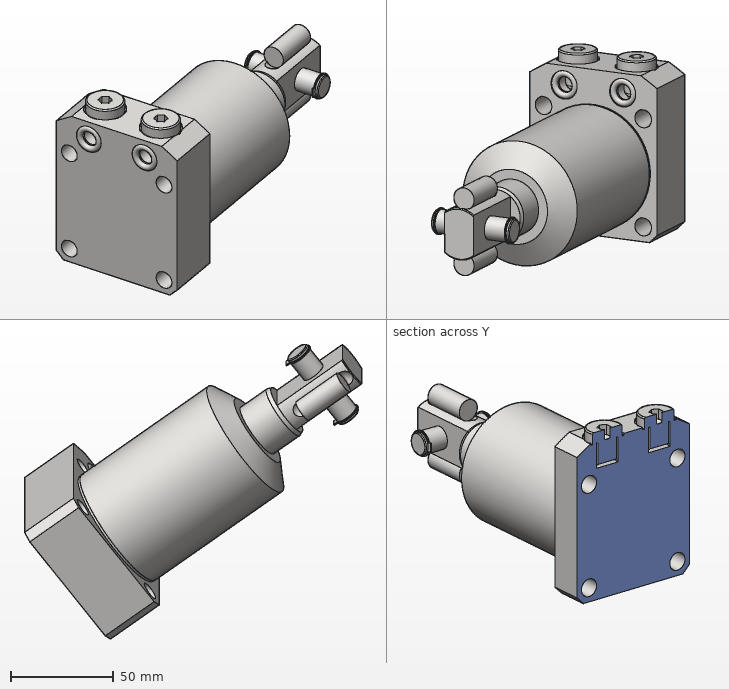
import cadquery as cq
import math


flange_width = 70.0
flange_depth = 30.0
flange_bottom = -35.0
flange_top = 49.0
top_edge_half = 26.0
side_edge_top = 43.5
bottom_chamfer = 4.2
bolt_spacing = 54.8
bolt_hole_diameter = 9.1

barrel_radius = 31.5
barrel_shoulder_y = 108.7
barrel_end_y = 116.0
barrel_nose_radius = 18.9
spigot_radius = 31.3
spigot_end_y = 31.2

neck_radius = 14.0
neck_end_y = 134.0
neck_chamfer_length = 2.1
tang_radius = 13.1
tang_width = 15.8
tang_end_y = 174.1
tang_end_chamfer = 0.5

pin_y = 156.3
pin_radius = 6.0
pin_length = 42.9
pin_end_chamfer = 0.5
clip_thickness = 0.7
clip_inset = 1.5
clip_radius = 6.6
clip_lug_width = 4.9
clip_lug_reach = 7.9

roller_radius = 5.6
roller_length = 25.0
roller_axis_height = 16.6
groove_end_clearance = 0.5

port_x = 16.1
port_z = 39.2
ring_centre_radius = 5.6
ring_section_radius = 1.5
front_ring_protrusion = 0.9
rear_ring_protrusion = 0.5

plug_top = 54.0
plug_head_radius = 9.6
plug_edge_chamfer = 0.7
plug_stem_radius = 6.5
plug_stem_bottom = 36.4
plug_bore_radius = 7.0
plug_bore_bottom = 34.8
spotface_radius = 10.5
spotface_depth = 1.0
socket_across_flats = 6.0
socket_depth = 5.2
socket_cone_depth = 1.8

flange_half = flange_width / 2
corner_radius = math.hypot(top_edge_half, flange_top)
bolt_half = bolt_spacing / 2
port_hole_radius = ring_centre_radius - ring_section_radius
ring_seat_radius = ring_centre_radius + ring_section_radius
front_seat_depth = 2 * ring_section_radius - front_ring_protrusion
rear_seat_depth = 2 * ring_section_radius - rear_ring_protrusion
front_ring_y = ring_section_radius - front_ring_protrusion
rear_ring_y = flange_depth - ring_section_radius + rear_ring_protrusion
spotface_z = flange_top - spotface_depth
plug_y = flange_depth / 2
tang_length = tang_end_y - neck_end_y
groove_length = roller_length + 2 * groove_end_clearance


def x_cylinder(radius, x_start, x_end, y):
    start = cq.Vector(x_start, y, 0)
    return cq.Workplane(cq.Solid.makeCylinder(radius, x_end - x_start, start, cq.Vector(1, 0, 0)))


def y_cylinder(radius, y_start, y_end, x, z):
    start = cq.Vector(x, y_start, z)
    return cq.Workplane(cq.Solid.makeCylinder(radius, y_end - y_start, start, cq.Vector(0, 1, 0)))


def z_cylinder(radius, z_start, z_end, x, y):
    start = cq.Vector(x, y, z_start)
    return cq.Workplane(cq.Solid.makeCylinder(radius, z_end - z_start, start, cq.Vector(0, 0, 1)))


def turned_about_y(points):
    return cq.Workplane("XY").polyline(points).close().revolve(360, (0, 0), (0, 1))


def make_flange():
    arc_angle = (math.atan2(flange_top, top_edge_half) + math.atan2(side_edge_top, flange_half)) / 2
    arc_x = corner_radius * math.cos(arc_angle)
    arc_z = corner_radius * math.sin(arc_angle)
    flange = (
        cq.Workplane("XZ")
        .moveTo(-flange_half + bottom_chamfer, flange_bottom)
        .lineTo(flange_half - bottom_chamfer, flange_bottom)
        .lineTo(flange_half, flange_bottom + bottom_chamfer)
        .lineTo(flange_half, side_edge_top)
        .threePointArc((arc_x, arc_z), (top_edge_half, flange_top))
        .lineTo(-top_edge_half, flange_top)
        .threePointArc((-arc_x, arc_z), (-flange_half, side_edge_top))
        .lineTo(-flange_half, flange_bottom + bottom_chamfer)
        .close()
        .extrude(-flange_depth)
    )
    for x in (-bolt_half, bolt_half):
        for z in (-bolt_half, bolt_half):
            flange = flange.cut(y_cylinder(bolt_hole_diameter / 2, 0, flange_depth, x, z))
    return flange


def cut_port(body, x):
    rear_seat_y = flange_depth - rear_seat_depth
    return (
        body
        .cut(y_cylinder(port_hole_radius, 0, flange_depth, x, port_z))
        .cut(y_cylinder(ring_seat_radius, 0, front_seat_depth, x, port_z))
        .cut(y_cylinder(ring_seat_radius, rear_seat_y, flange_depth, x, port_z))
        .cut(z_cylinder(plug_bore_radius, plug_bore_bottom, flange_top, x, plug_y))
        .cut(z_cylinder(spotface_radius, spotface_z, flange_top, x, plug_y))
    )


def make_plug(x):
    head = z_cylinder(plug_head_radius, spotface_z, plug_top, x, plug_y)
    head = head.faces(">Z").chamfer(plug_edge_chamfer)
    stem = z_cylinder(plug_stem_radius, plug_stem_bottom, spotface_z, x, plug_y)
    hexagon = (
        cq.Workplane("XY")
        .polygon(6, socket_across_flats / math.cos(math.pi / 6))
        .extrude(-socket_depth)
        .rotate((0, 0, 0), (0, 0, 1), 30)
        .translate((x, plug_y, plug_top))
    )
    cone = cq.Workplane(cq.Solid.makeCone(
        socket_across_flats / 2, 0, socket_cone_depth,
        cq.Vector(x, plug_y, plug_top - socket_depth), cq.Vector(0, 0, -1)))
    return head.union(stem).cut(hexagon).cut(cone)


def make_barrel():
    return turned_about_y([
        (0, flange_depth),
        (spigot_radius, flange_depth),
        (spigot_radius, spigot_end_y),
        (barrel_radius, spigot_end_y),
        (barrel_radius, barrel_shoulder_y),
        (barrel_nose_radius, barrel_end_y),
        (0, barrel_end_y),
    ])


def make_roller_groove(side):
    start = pin_y - groove_length / 2
    end = start + groove_length
    height = side * roller_axis_height
    groove = y_cylinder(roller_radius, start, end, 0, height)
    for y in (start, end):
        groove = groove.union(cq.Workplane("XY").sphere(roller_radius).translate((0, y, height)))
    return groove


def make_rod():
    neck = turned_about_y([
        (0, barrel_end_y),
        (neck_radius, barrel_end_y),
        (neck_radius, neck_end_y - neck_chamfer_length),
        (tang_radius, neck_end_y),
        (0, neck_end_y),
    ])
    tang = y_cylinder(tang_radius, neck_end_y, tang_end_y, 0, 0)
    tang = tang.faces(">Y").chamfer(tang_end_chamfer)
    flats = cq.Workplane("XY").box(tang_width, tang_length, 2 * tang_radius)
    tang = tang.intersect(flats.translate((0, neck_end_y + tang_length / 2, 0)))
    rod = neck.union(tang)
    for side in (-1, 1):
        rod = rod.cut(make_roller_groove(side))
    return rod


def make_cross_pin():
    half = pin_length / 2
    pin = x_cylinder(pin_radius, -half, half, pin_y).faces("<X or >X").chamfer(pin_end_chamfer)
    for side in (-1, 1):
        centre = side * (half - clip_inset - clip_thickness / 2)
        clip = x_cylinder(clip_radius, centre - clip_thickness / 2, centre + clip_thickness / 2, pin_y)
        lug = cq.Workplane("XY").box(clip_thickness, clip_lug_reach, clip_lug_width)
        lug = lug.translate((centre, pin_y - clip_lug_reach / 2, 0))
        pin = pin.union(clip).union(lug)
    return pin


def make_main_body():
    body = make_flange().union(make_barrel())
    for x in (-port_x, port_x):
        body = cut_port(body, x).union(make_plug(x))
    return body.union(make_rod()).union(make_cross_pin())


def make_roller(side):
    start = pin_y - roller_length / 2
    return y_cylinder(roller_radius, start, start + roller_length, 0, side * roller_axis_height)


def make_ring(x, y):
    return cq.Workplane(cq.Solid.makeTorus(
        ring_centre_radius, ring_section_radius, cq.Vector(x, y, port_z), cq.Vector(0, 1, 0)))


main_body = make_main_body()
rollers = [make_roller(side) for side in (-1, 1)]
rings = [make_ring(x, y) for x in (-port_x, port_x) for y in (front_ring_y, rear_ring_y)]

result = cq.Compound.makeCompound([body.val() for body in [main_body, *rollers, *rings]])